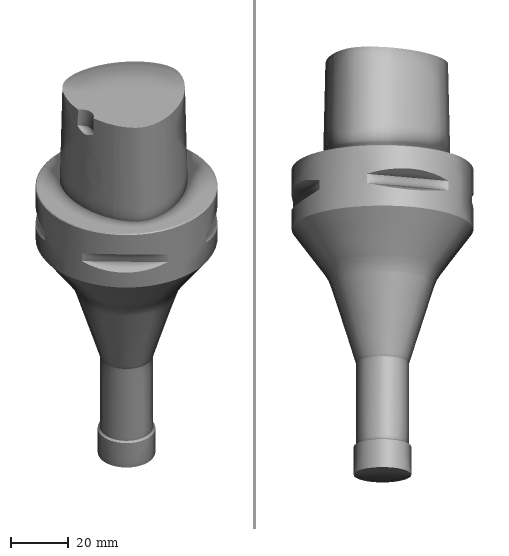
import cadquery as cq
import math

TOTAL_LENGTH = 148.0
TAPER_LENGTH = 38.0
FLANGE_HEIGHT = 21.9
FLANGE_TOP = TOTAL_LENGTH - TAPER_LENGTH
FLANGE_BOTTOM = FLANGE_TOP - FLANGE_HEIGHT
BLEND_TOP = 73.1
BLEND_BOTTOM = 68.2
NECK_CONE_BOTTOM = 40.8
SHANK_TOP = 40.1
HEAD_HEIGHT = 10.5

FLANGE_RADIUS = 63.0 / 2
FLANGE_CHAMFER = 0.3
BLEND_TOP_RADIUS = 20.5
BLEND_BOTTOM_RADIUS = 18.0
NECK_END_RADIUS = 9.5
SHANK_RADIUS = 18.4 / 2

HEAD_RADIUS = 20.0 / 2
HEAD_CHAMFER_HEIGHT = 0.5

TAPER_BASE_WIDTH = 44.3
TAPER_TOP_WIDTH = 42.5
LOBE_HEIGHT = 1.5
LOBE_COUNT = 3
FLAT_HALF_ANGLE = math.radians(23)
PATCH_STEPS = 6

NOTCH_RADIUS = 4.6
NOTCH_WALL_DEPTH = 2.4
NOTCH_STRAIGHT_LENGTH = 6.7
DRILL_HALF_ANGLE = math.radians(59)

GROOVE_COUNT = 4
GROOVE_START_ANGLE = 45
GROOVE_LEVEL = TOTAL_LENGTH - 50.0
GROOVE_DEPTH = 3.7
GROOVE_FLOOR_WIDTH = 3.3
GROOVE_FLANK_ANGLE = math.radians(30)


def turned_body():
    """Flange, two cones with a concave blend, and the straight shank."""
    slope_in = math.atan2(FLANGE_RADIUS - BLEND_TOP_RADIUS, FLANGE_BOTTOM - BLEND_TOP)
    slope_out = math.atan2(BLEND_BOTTOM_RADIUS - NECK_END_RADIUS, BLEND_BOTTOM - NECK_CONE_BOTTOM)
    chord = math.hypot(BLEND_TOP_RADIUS - BLEND_BOTTOM_RADIUS, BLEND_TOP - BLEND_BOTTOM)
    sagitta = chord / 2 * math.tan((slope_in - slope_out) / 4)
    chord_slope = math.atan2(BLEND_TOP_RADIUS - BLEND_BOTTOM_RADIUS, BLEND_TOP - BLEND_BOTTOM)
    blend_middle = (
        (BLEND_TOP_RADIUS + BLEND_BOTTOM_RADIUS) / 2 - sagitta * math.cos(chord_slope),
        (BLEND_TOP + BLEND_BOTTOM) / 2 + sagitta * math.sin(chord_slope),
    )
    return (
        cq.Workplane("XZ")
        .moveTo(0, FLANGE_TOP)
        .lineTo(FLANGE_RADIUS - FLANGE_CHAMFER, FLANGE_TOP)
        .lineTo(FLANGE_RADIUS, FLANGE_TOP - FLANGE_CHAMFER)
        .lineTo(FLANGE_RADIUS, FLANGE_BOTTOM)
        .lineTo(BLEND_TOP_RADIUS, BLEND_TOP)
        .threePointArc(blend_middle, (BLEND_BOTTOM_RADIUS, BLEND_BOTTOM))
        .lineTo(NECK_END_RADIUS, NECK_CONE_BOTTOM)
        .lineTo(SHANK_RADIUS, SHANK_TOP)
        .lineTo(SHANK_RADIUS, HEAD_HEIGHT)
        .lineTo(0, HEAD_HEIGHT)
        .close()
        .revolve(360, (0, 0), (0, 1))
    )


def taper_outline_point(width, angle):
    """Point of the constant-width outline whose outward normal is at this angle from +Y."""
    support = width / 2 + LOBE_HEIGHT * math.cos(LOBE_COUNT * angle)
    support_rate = -LOBE_COUNT * LOBE_HEIGHT * math.sin(LOBE_COUNT * angle)
    x = support * math.sin(angle) + support_rate * math.cos(angle)
    y = support * math.cos(angle) - support_rate * math.sin(angle)
    return x, y


def taper_patch_edge(width, level, start, end):
    """Smooth stretch of the outline between two normal angles."""
    angles = [start + (end - start) * i / PATCH_STEPS for i in range(PATCH_STEPS + 1)]
    points = [cq.Vector(*taper_outline_point(width, angle), level) for angle in angles]
    tangents = [cq.Vector(math.cos(angle), -math.sin(angle), 0) for angle in (start, end)]
    return cq.Edge.makeSpline(points, tangents=tangents)


def taper_wire(width, level):
    """Closed outline of three lobes, each followed by a flat."""
    pitch = 2 * math.pi / LOBE_COUNT
    lobe_half_angle = pitch / 2 - FLAT_HALF_ANGLE
    edges = []
    for i in range(LOBE_COUNT):
        lobe_start = i * pitch - lobe_half_angle
        flat_start = i * pitch + lobe_half_angle
        edges.append(taper_patch_edge(width, level, lobe_start, flat_start))
        edges.append(taper_patch_edge(width, level, flat_start, lobe_start + pitch))
    return cq.Wire.assembleEdges(edges)


def polygon_taper():
    base = taper_wire(TAPER_BASE_WIDTH, FLANGE_TOP)
    top = taper_wire(TAPER_TOP_WIDTH, TOTAL_LENGTH)
    return cq.Workplane(cq.Solid.makeLoft([base, top], True))


def notch_cutter():
    """Vertical drill shape with a conical point."""
    flat_distance = TAPER_TOP_WIDTH / 2 - LOBE_HEIGHT
    axis_y = -(flat_distance - NOTCH_WALL_DEPTH + NOTCH_RADIUS)
    shoulder = TOTAL_LENGTH - NOTCH_STRAIGHT_LENGTH
    tip = shoulder - NOTCH_RADIUS / math.tan(DRILL_HALF_ANGLE)
    return (
        cq.Workplane("XZ", origin=(0, axis_y, 0))
        .moveTo(0, TOTAL_LENGTH)
        .lineTo(NOTCH_RADIUS, TOTAL_LENGTH)
        .lineTo(NOTCH_RADIUS, shoulder)
        .lineTo(0, tip)
        .close()
        .revolve(360, (0, 0), (0, 1))
    )


def groove_cutter(angle):
    """Straight groove with a flat floor and sloping flanks, facing the given angle."""
    floor_distance = FLANGE_RADIUS - GROOVE_DEPTH
    half_floor = GROOVE_FLOOR_WIDTH / 2
    half_mouth = half_floor + GROOVE_DEPTH * math.tan(GROOVE_FLANK_ANGLE)
    return (
        cq.Workplane("XZ")
        .moveTo(floor_distance, GROOVE_LEVEL - half_floor)
        .lineTo(FLANGE_RADIUS, GROOVE_LEVEL - half_mouth)
        .lineTo(FLANGE_RADIUS, GROOVE_LEVEL + half_mouth)
        .lineTo(floor_distance, GROOVE_LEVEL + half_floor)
        .close()
        .extrude(FLANGE_RADIUS, both=True)
        .rotate((0, 0, 0), (0, 0, 1), angle)
    )


def make_holder():
    holder = turned_body().union(polygon_taper()).cut(notch_cutter())
    for i in range(GROOVE_COUNT):
        holder = holder.cut(groove_cutter(GROOVE_START_ANGLE + i * 360 / GROOVE_COUNT))
    return holder


def make_cutting_head():
    """Cylinder whose top edge is bevelled in to the shank radius."""
    return (
        cq.Workplane("XZ")
        .lineTo(HEAD_RADIUS, 0)
        .lineTo(HEAD_RADIUS, HEAD_HEIGHT - HEAD_CHAMFER_HEIGHT)
        .lineTo(SHANK_RADIUS, HEAD_HEIGHT)
        .lineTo(0, HEAD_HEIGHT)
        .close()
        .revolve(360, (0, 0), (0, 1))
    )


holder = make_holder()
cutting_head = make_cutting_head()
result = cq.Compound.makeCompound([holder.val(), cutting_head.val()])